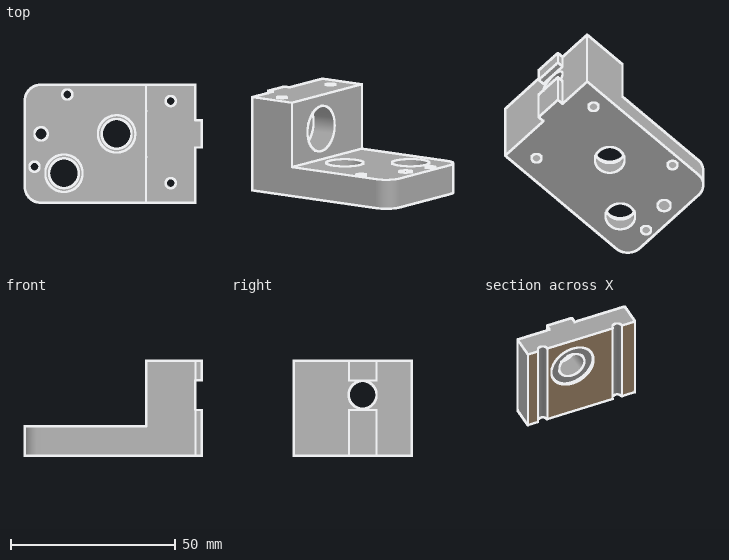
import cadquery as cq

total_length = 54.0
width = 36.0
height = 29.0
key_projection = 2.0
body_length = total_length - key_projection
base_thickness = 9.0
block_thickness = 15.0
block_front = body_length - block_thickness
corner_radius = 5.0

axis_y = 21.0

key_width = 8.4
key_gap_bottom = 14.0
key_gap_height = 9.0

bore_z = 18.6
bore_diameter = 8.4
bore_recess_diameter = 14.0
bore_recess_depth = 8.0

seat_hole_diameter = 9.0
seat_diameter = 11.4
seat_depth = 3.0
seat_centers = [(28.0, axis_y), (12.0, 9.0)]

small_diameter = 3.0
medium_diameter = 4.0
base_small_centers = [(13.0, 33.0), (3.0, 11.0)]
base_medium_centers = [(5.0, axis_y)]
block_hole_x = block_front + block_thickness / 2
block_hole_spacing = 25.0
block_hole_front_y = 6.0
block_hole_centers = [
    (block_hole_x, block_hole_front_y),
    (block_hole_x, block_hole_front_y + block_hole_spacing),
]


def box(x, y, z, length, depth, tall):
    """Box whose minimum corner is at (x, y, z)."""
    return cq.Workplane("XY").box(length, depth, tall, centered=False).translate((x, y, z))


def vertical_holes(centers, diameter, bottom=0.0):
    """Upright cylinders from the bottom level to the top of the part."""
    plane = cq.Workplane("XY").workplane(offset=bottom)
    return plane.pushPoints(centers).circle(diameter / 2).extrude(height - bottom)


def bore_cylinder(diameter, length):
    """Cylinder along X that starts at the front face of the block."""
    start = cq.Vector(block_front, axis_y, bore_z)
    return cq.Workplane(cq.Solid.makeCylinder(diameter / 2, length, start, cq.Vector(1, 0, 0)))


base = box(0, 0, 0, body_length, width, base_thickness)
base = base.edges("|Z and <X").fillet(corner_radius)
block = box(block_front, 0, 0, block_thickness, width, height)
body = base.union(block)

key_y = axis_y - key_width / 2
key = box(body_length, key_y, 0, key_projection, key_width, height)
key_gap = box(body_length, key_y, key_gap_bottom, key_projection, key_width, key_gap_height)
body = body.union(key.cut(key_gap))

body = body.cut(bore_cylinder(bore_diameter, block_thickness))
body = body.cut(bore_cylinder(bore_recess_diameter, bore_recess_depth))

body = body.cut(vertical_holes(seat_centers, seat_hole_diameter))
body = body.cut(vertical_holes(seat_centers, seat_diameter, base_thickness - seat_depth))

body = body.cut(vertical_holes(base_small_centers + block_hole_centers, small_diameter))
body = body.cut(vertical_holes(base_medium_centers, medium_diameter))

result = body